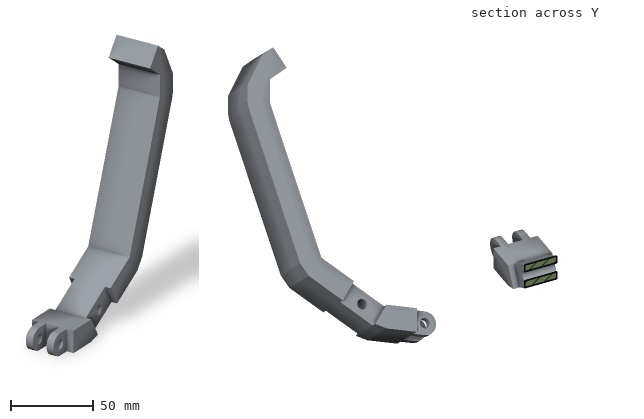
import cadquery as cq
import math

arm_width = 30.0
thickness = 15.0
knuckle_radius = thickness / 2

base_length, base_slope = 20.0, 0.0
lower_length, lower_slope = 50.0, 30.0
upper_length, upper_slope = 100.0, 70.0
wrist_length, wrist_slope = 15.0, 90.0
tip_length, tip_slope = 13.95, 143.0
hook_bevel = 5.0
knee_extension = 1.2

lug_width = 5.0
lug_gap = 10.0
neck_width = 22.0
neck_length = lower_length / 2
hole_diameter = 6.5


def along(point, slope, distance):
    """Move a (y, z) point by a distance in the direction of the slope."""
    angle = math.radians(slope)
    return (point[0] + distance * math.cos(angle), point[1] + distance * math.sin(angle))


def across(point, slope, depth=thickness):
    """Move a (y, z) point square to a bar, from its inner face toward its outer face."""
    return along(point, slope - 90, depth)


shoulder = (knuckle_radius, knuckle_radius)
elbow = along(shoulder, base_slope, base_length)
knee = along(elbow, lower_slope, lower_length)
wrist = along(knee, upper_slope, upper_length)
hook = along(wrist, wrist_slope, wrist_length)
tip = along(hook, tip_slope, tip_length)


def extrude_centered(sketch, width):
    """Extrude a YZ outline to a width centered on X = 0."""
    return sketch.extrude(width / 2, both=True)


def make_prism(outline, width):
    return extrude_centered(cq.Workplane("YZ").polyline(outline).close(), width)


def make_arm():
    inner_face = [shoulder, elbow, knee, wrist, hook, tip]
    outer_face = [
        across(tip, tip_slope),
        along(across(hook, tip_slope), tip_slope, hook_bevel),
        along(across(hook, wrist_slope), wrist_slope, -hook_bevel),
        across(wrist, wrist_slope),
        across(wrist, upper_slope),
        across(knee, upper_slope),
        along(across(knee, lower_slope), lower_slope, knee_extension),
        across(elbow, lower_slope),
        across(elbow, base_slope),
        across(shoulder, base_slope),
    ]
    return make_prism(inner_face + outer_face, arm_width)


def make_lugs():
    """Two round-ended lugs around the hinge pin, separated by a central gap."""
    plate = (
        cq.Workplane("YZ")
        .moveTo(*shoulder)
        .lineTo(0, knuckle_radius)
        .threePointArc((-knuckle_radius, 0), (0, -knuckle_radius))
        .lineTo(knuckle_radius, -knuckle_radius)
        .close()
    )
    lug_block = extrude_centered(plate, lug_gap + 2 * lug_width)
    gap = cq.Workplane("XY").box(lug_gap, 2 * knuckle_radius, thickness)
    return lug_block.cut(gap)


def make_neck_cut():
    """Material removed from both sides of the lower bar next to the elbow."""
    neck_end = along(elbow, lower_slope, neck_length)
    outline = [elbow, neck_end, across(neck_end, lower_slope), across(elbow, lower_slope)]
    return make_prism(outline, arm_width).cut(make_prism(outline, neck_width))


def make_hole(center):
    return extrude_centered(cq.Workplane("YZ").center(*center).circle(hole_diameter / 2), arm_width)


hinge_center = (0, 0)
neck_middle = along(elbow, lower_slope, neck_length / 2)
neck_center = across(neck_middle, lower_slope, thickness / 2)

result = make_arm().union(make_lugs()).cut(make_neck_cut())
for hole_center in (hinge_center, neck_center):
    result = result.cut(make_hole(hole_center))